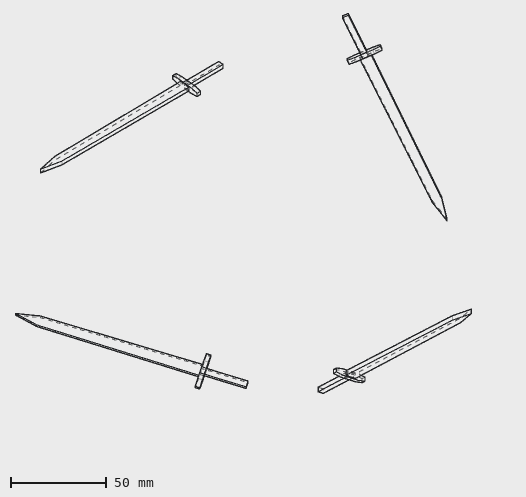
import cadquery as cq

TOTAL_LENGTH = 127.0
THICKNESS = 2.7

GRIP_LENGTH = 22.9
GRIP_WIDTH = 3.4
BLADE_ROOT_WIDTH = 6.4
BLADE_END_WIDTH = 5.3
POINT_LENGTH = 12.7

GUARD_SPAN = 19.0
GUARD_DEPTH = 2.5
GUARD_HEIGHT = 3.8
GUARD_FLAT_SPAN = 10.3
GUARD_END_HEIGHT = 2.3

POMMEL_Y = TOTAL_LENGTH / 2
TIP_Y = -TOTAL_LENGTH / 2
GUARD_BACK_Y = POMMEL_Y - GRIP_LENGTH
GUARD_FRONT_Y = GUARD_BACK_Y - GUARD_DEPTH
POINT_START_Y = TIP_Y + POINT_LENGTH


def make_blade():
    """Blade and grip in one piece; the grip runs through the guard to the blade shoulders."""
    return (
        cq.Workplane("XY")
        .moveTo(0, TIP_Y)
        .lineTo(BLADE_END_WIDTH / 2, POINT_START_Y)
        .lineTo(BLADE_ROOT_WIDTH / 2, GUARD_FRONT_Y)
        .lineTo(GRIP_WIDTH / 2, GUARD_FRONT_Y)
        .lineTo(GRIP_WIDTH / 2, POMMEL_Y)
        .lineTo(0, POMMEL_Y)
        .mirrorY()
        .extrude(THICKNESS / 2, both=True)
    )


def make_guard():
    """Crossguard with tapered arms and a rectangular slot for the grip."""
    guard_plane = cq.Workplane("XZ", origin=(0, GUARD_BACK_Y, 0))
    half_outline = [
        (-GUARD_SPAN / 2, 0),
        (-GUARD_SPAN / 2, GUARD_END_HEIGHT / 2),
        (-GUARD_FLAT_SPAN / 2, GUARD_HEIGHT / 2),
        (GUARD_FLAT_SPAN / 2, GUARD_HEIGHT / 2),
        (GUARD_SPAN / 2, GUARD_END_HEIGHT / 2),
        (GUARD_SPAN / 2, 0),
    ]
    body = guard_plane.polyline(half_outline).mirrorX().extrude(GUARD_DEPTH)
    grip_slot = guard_plane.rect(GRIP_WIDTH, THICKNESS).extrude(GUARD_DEPTH)
    return body.cut(grip_slot)


blade = make_blade()
guard = make_guard()

result = cq.Compound.makeCompound([blade.val(), guard.val()])